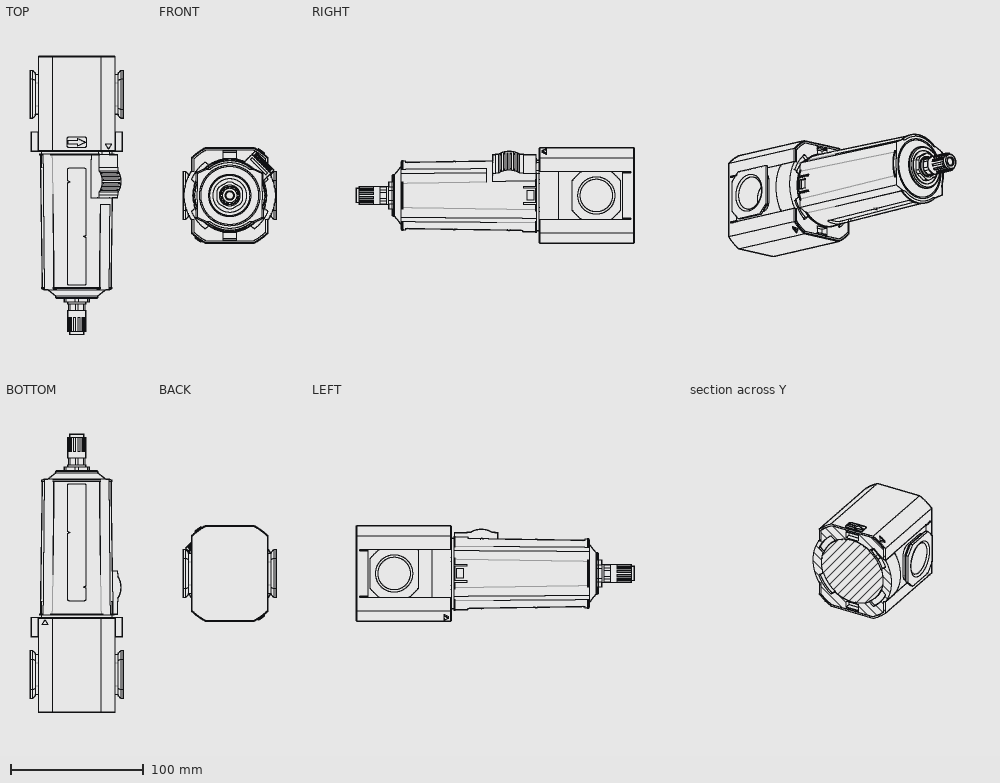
import cadquery as cq
import math


COVER_BACK = 28.7
COVER_FRONT = -43.0
COVER_HALF_WIDTH = 29.0
COVER_HALF_HEIGHT = 36.0
COVER_CORNER_RADIUS = 40.5
COVER_WALL = 1.9
COVER_EDGE = 0.6
WINDOW_HALF_HEIGHT = 18.0
WINDOW_BACK = 19.7
SLIT_BACK = 25.8
SLIT_WIDTH = 0.8
MARK_DEPTH = 0.5
LABEL_WIDTH = 14.7
LABEL_LENGTH = 8.0
LABEL_Y = -36.0
LABEL_CORNER = 1.5
ARROW_LENGTH = 13.2
ARROW_HEAD_LENGTH = 5.9
ARROW_HEAD_WIDTH = 5.5
ARROW_SHAFT_WIDTH = 2.5
LOCK_MARK_X = 23.9
LOCK_MARK_BASE_Y = -37.5
LOCK_MARK_TIP_Y = -41.0
LOCK_MARK_WIDTH = 4.6
LOCK_MARK_HEIGHT = 0.8

COLLAR_RADIUS = 34.4
COLLAR_BACK = -28.3
FLANGE_OUTER_X = 70.2 / 2
FLANGE_THICKNESS = 4.0
FLANGE_SIZE = 36.3
FLANGE_CORNER = 6.7
FLANGE_BEVEL = 2.0
NECK_SIZE = 30.2
NECK_CORNER = 6.5
PORT_DIAMETER = 24.5
PORT_MOUTH_DIAMETER = 28.0
PORT_CHAMFER_DEPTH = 1.3
PORT_DEPTH = 21.0
NOTCH_WIDTH = 10.0
NOTCH_BOTTOM = 27.9
NOTCH_DEPTH = 5.2
NOTCH_BAR_BOTTOM = 32.5
NOTCH_BAR_HEIGHT = 1.0
NOTCH_BAR_SETBACK = 1.3
SOCKET_DEPTH = 4.2
LUG_POCKET_DIAMETER = 62.5
LUG_POCKET_WIDTH = 16.8
LUG_POCKET_ANGLE = 38.0
LUG_POCKET_DEPTH = 3.1

BOWL_NECK_RADIUS = 26.6
BOWL_TOP_RADIUS = 25.5
BOWL_BOTTOM_RADIUS = 23.5
BOWL_SHOULDER_Y = -145.5
BOWL_MOUTH_RADIUS = 22.8
BOWL_CONE_RADIUS = 21.8
BOWL_RING_RADIUS = 16.0
BOWL_CONE_FRONT = -151.7
BOWL_RING_FRONT = -153.6
BOWL_RING_BEVEL = 0.8
RING_RECESS_DIAMETER = 25.4
RING_RECESS_DEPTH = 0.6
HEX_WIDTH = 19.0
HEX_DIAMETER = 20.5
HEX_FRONT = -156.3
HEX_RECESS_DIAMETER = 15.7
HEX_RECESS_DEPTH = 0.6
WASHER_DIAMETER = 13.8
WASHER_FRONT = -157.8
STEM_HEX_WIDTH = 12.5
STEM_HEX_DIAMETER = 13.5
KNOB_BACK = -162.8
KNOB_DIAMETER = 13.8
KNURL_BACK = -167.9
KNOB_FRONT = -178.5
KNURL_COUNT = 12
KNURL_WIDTH = 1.5
KNURL_DEPTH = 0.8
TIP_DIAMETER = 11.0
TIP_FRONT = -180.9
DRAIN_MOUTH_DIAMETER = 7.0
DRAIN_MOUTH_DEPTH = 0.8
DRAIN_DIAMETER = 5.7
DRAIN_DEPTH = 6.3

GUARD_BACK = -44.8
GUARD_FRONT = -147.1
GUARD_TOP_RADIUS = 27.5
GUARD_BOTTOM_RADIUS = 26.0
GUARD_RIM_RADIUS = 27.9
GUARD_RIM_LENGTH = 0.8
GUARD_LIP_HEIGHT = 0.5
GUARD_LIP_LENGTH = 1.7
GUARD_LIP_BEVEL = 0.8
GUARD_FACE_RADIUS = 24.7
RIDGE_SIDE_X = 24.3
RIDGE_SIDE_Z = 16.5
RIDGE_INNER_X = 17.4
RIDGE_INNER_Z = 19.7
RIDGE_TOP_SCALE = 1.04
SHORT_RIDGE_BACK = -82.8
SIGHT_WIDTH = 14.3
SIGHT_BACK = -55.5
SIGHT_FRONT = -143.5
SIGHT_CORNER = 1.5
LEVEL_MARK_SIZE = 1.9
UPPER_LEVEL_Y = -65.8
LOWER_LEVEL_Y = -106.9
CLIP_SLOT_Z = 6.0
CLIP_SLOT_WIDTH = 1.3
CLIP_SLOT_FRONT = -55.0
CLIP_WINDOW_WIDTH = 7.1
CLIP_WINDOW_BACK = -46.7
CLIP_WINDOW_FRONT = -52.2

BUTTON_ANGLE = 45.0
BUTTON_WIDTH = 20.1
BUTTON_BACK = -45.3
BUTTON_FRONT = -78.0
BUTTON_TOP = 33.5
BUTTON_STEP = 0.5
BUTTON_STEP_BACK = -55.0
BUTTON_STEP_FRONT = -75.9
GRIP_BACK = -57.2
GRIP_FRONT = -74.0
GRIP_TOP = 37.0
GRIP_GROOVES = 6
GRIP_GROOVE_LENGTH = 16.8
GRIP_GROOVE_WIDTH = 1.0
GRIP_GROOVE_DEPTH = 1.0
GRIP_GROOVE_PITCH = 2.5
END_SLOT_BOTTOM = 30.2
END_SLOT_TOP = 32.0
END_SLOT_WIDTH = 16.3
END_SLOT_DEPTH = 1.0
TONGUE_WIDTH = 8.4
TONGUE_HEIGHT = 3.4
TONGUE_CLEARANCE = 0.5


def block(x_range, y_range, z_range):
    """Box between the given limits."""
    size = [abs(b - a) for a, b in (x_range, y_range, z_range)]
    low = [min(pair) for pair in (x_range, y_range, z_range)]
    return cq.Workplane("XY").box(*size, centered=False).translate(tuple(low))


def sketch_at(y):
    """Plane across the part at the given Y; extrusions run toward -Y."""
    return cq.Workplane("XZ", origin=(0, y, 0))


def cylinder(diameter, back, front):
    return sketch_at(back).circle(diameter / 2).extrude(back - front)


def hexagon(width, diameter, back, front):
    """Hexagonal prism with two flats facing +X and -X, its corners turned to a diameter."""
    corner_diameter = width / math.cos(math.pi / 6)
    prism = sketch_at(back).polygon(6, corner_diameter).extrude(back - front)
    prism = prism.rotate((0, 0, 0), (0, 1, 0), 30)
    return prism.intersect(cylinder(diameter, back, front))


def turned(points):
    """Solid of revolution about Y from (radius, y) points."""
    return cq.Workplane("XY").polyline(points).close().revolve(360, (0, 0, 0), (0, 1, 0))


def housing_prism(inset, back, front):
    """Rectangle with its corners rounded about the part axis."""
    prism = sketch_at(back).rect(
        2 * (COVER_HALF_WIDTH - inset), 2 * (COVER_HALF_HEIGHT - inset)
    ).extrude(back - front)
    return prism.intersect(cylinder(2 * (COVER_CORNER_RADIUS - inset), back, front))


def flow_arrow_label():
    """Sunken label on the top face with a raised arrow pointing to +X."""
    floor_plane = cq.Workplane("XY", origin=(0, LABEL_Y, COVER_HALF_HEIGHT - MARK_DEPTH))
    sink = floor_plane.rect(LABEL_WIDTH, LABEL_LENGTH).extrude(2 * MARK_DEPTH)
    sink = sink.edges("|Z").fillet(LABEL_CORNER)
    tail = -ARROW_LENGTH / 2
    tip = ARROW_LENGTH / 2
    neck = tip - ARROW_HEAD_LENGTH
    half_shaft = ARROW_SHAFT_WIDTH / 2
    half_head = ARROW_HEAD_WIDTH / 2
    arrow = floor_plane.polyline([
        (tail, -half_shaft), (neck, -half_shaft), (neck, -half_head), (tip, 0),
        (neck, half_head), (neck, half_shaft), (tail, half_shaft),
    ]).close().extrude(2 * MARK_DEPTH)
    return sink.cut(arrow)


def lock_mark():
    """Raised triangle on the upper +X corner face of the cover."""
    half = LOCK_MARK_WIDTH / 2
    prism = cq.Workplane("XY").polyline([
        (LOCK_MARK_X - half, LOCK_MARK_BASE_Y), (LOCK_MARK_X + half, LOCK_MARK_BASE_Y),
        (LOCK_MARK_X, LOCK_MARK_TIP_Y),
    ]).close().extrude(COVER_CORNER_RADIUS + LOCK_MARK_HEIGHT)
    mark_radius = COVER_CORNER_RADIUS + LOCK_MARK_HEIGHT
    ring = cylinder(2 * mark_radius, COVER_BACK, COVER_FRONT)
    ring = ring.cut(cylinder(2 * (COVER_CORNER_RADIUS - COVER_WALL / 2), COVER_BACK, COVER_FRONT))
    return prism.intersect(ring)


def make_cover():
    cover = housing_prism(0, COVER_BACK, COVER_FRONT)
    cover = cover.faces("<Y or >Y").edges().chamfer(COVER_EDGE)
    cover = cover.cut(housing_prism(COVER_WALL, COVER_BACK - COVER_WALL, COVER_FRONT))
    across = (-COVER_HALF_WIDTH, COVER_HALF_WIDTH)
    window = block(across, (WINDOW_BACK, COVER_FRONT), (-WINDOW_HALF_HEIGHT, WINDOW_HALF_HEIGHT))
    cover = cover.cut(window)
    for side in (-1, 1):
        slit_z = (side * (WINDOW_HALF_HEIGHT - SLIT_WIDTH), side * WINDOW_HALF_HEIGHT)
        cover = cover.cut(block(across, (SLIT_BACK, WINDOW_BACK), slit_z))
    mark = lock_mark()
    cover = cover.cut(flow_arrow_label()).union(mark)
    return cover.union(mark.rotate((0, 0, 0), (0, 1, 0), 180))


def port_flange(cut_corners):
    """Neck and flange plate on the +X side, the selected plate corners cut at 45 degrees."""
    inner_x = FLANGE_OUTER_X - FLANGE_THICKNESS
    start_x = COVER_HALF_WIDTH - COVER_WALL
    neck = cq.Workplane("YZ", origin=(start_x, 0, 0)).rect(NECK_SIZE, NECK_SIZE)
    neck = neck.extrude(inner_x - start_x).edges("|X").fillet(NECK_CORNER)
    plate = cq.Workplane("YZ", origin=(inner_x, 0, 0)).rect(FLANGE_SIZE, FLANGE_SIZE)
    plate = plate.extrude(FLANGE_THICKNESS).edges(cut_corners).chamfer(FLANGE_CORNER)
    plate = plate.faces("<X").edges().chamfer(FLANGE_BEVEL)
    return neck.union(plate)


def port_bore():
    """Bore with a chamfered mouth on the +X side."""
    mouth = PORT_MOUTH_DIAMETER / 2
    bore = PORT_DIAMETER / 2
    profile = [
        (FLANGE_OUTER_X, 0), (FLANGE_OUTER_X, mouth), (FLANGE_OUTER_X - PORT_CHAMFER_DEPTH, bore),
        (FLANGE_OUTER_X - PORT_DEPTH, bore), (FLANGE_OUTER_X - PORT_DEPTH, 0),
    ]
    return cq.Workplane("XY").polyline(profile).close().revolve(360, (0, 0, 0), (1, 0, 0))


def front_notch():
    """Notch at the top of the front face, crossed by a set-back bar."""
    across = (-NOTCH_WIDTH / 2, NOTCH_WIDTH / 2)
    floor_y = COVER_FRONT + NOTCH_DEPTH
    notch = block(across, (floor_y, COVER_FRONT), (NOTCH_BOTTOM, COVER_HALF_HEIGHT - COVER_WALL))
    bar_z = (NOTCH_BAR_BOTTOM, NOTCH_BAR_BOTTOM + NOTCH_BAR_HEIGHT)
    return notch.cut(block(across, (floor_y, COVER_FRONT + NOTCH_BAR_SETBACK), bar_z))


def lug_pocket(angle):
    """Pocket in the front face, square to the radius at the given angle from +X toward +Z."""
    pocket = block(
        (0, LUG_POCKET_DIAMETER / 2),
        (COVER_FRONT + LUG_POCKET_DEPTH, COVER_FRONT),
        (-LUG_POCKET_WIDTH / 2, LUG_POCKET_WIDTH / 2),
    )
    pocket = pocket.intersect(cylinder(LUG_POCKET_DIAMETER, COVER_BACK, COVER_FRONT))
    return pocket.rotate((0, 0, 0), (0, 1, 0), -angle)


def make_port_body():
    body = housing_prism(COVER_WALL, WINDOW_BACK, COVER_FRONT)
    window_z = (-WINDOW_HALF_HEIGHT, WINDOW_HALF_HEIGHT)
    window_fill = block((-COVER_HALF_WIDTH, COVER_HALF_WIDTH), (WINDOW_BACK, COVER_FRONT), window_z)
    collar = cylinder(2 * COLLAR_RADIUS, COLLAR_BACK, COVER_FRONT)
    collar_band = block((-COLLAR_RADIUS, COLLAR_RADIUS), (COLLAR_BACK, COVER_FRONT), window_z)
    body = body.union(window_fill).union(collar.intersect(collar_band))
    for turn, cut_corners in ((0, "|X"), (180, "|X and (not (>Y and >Z))")):
        flange = port_flange(cut_corners).rotate((0, 0, 0), (0, 0, 1), turn)
        body = body.union(flange).cut(port_bore().rotate((0, 0, 0), (0, 0, 1), turn))
        body = body.cut(front_notch().rotate((0, 0, 0), (0, 1, 0), turn))
        for angle in (LUG_POCKET_ANGLE, -LUG_POCKET_ANGLE):
            body = body.cut(lug_pocket(turn + angle))
    return body.cut(cylinder(2 * BOWL_NECK_RADIUS, COVER_FRONT + SOCKET_DEPTH, COVER_FRONT))


def make_bowl():
    """Bowl with its conical bottom, drain nut, stem and knurled drain knob."""
    bowl = turned([
        (0, COVER_FRONT + SOCKET_DEPTH), (BOWL_NECK_RADIUS, COVER_FRONT + SOCKET_DEPTH),
        (BOWL_NECK_RADIUS, GUARD_BACK), (BOWL_TOP_RADIUS, GUARD_BACK),
        (BOWL_BOTTOM_RADIUS, BOWL_SHOULDER_Y), (BOWL_MOUTH_RADIUS, BOWL_SHOULDER_Y),
        (BOWL_MOUTH_RADIUS, GUARD_FRONT), (BOWL_CONE_RADIUS, GUARD_FRONT),
        (BOWL_RING_RADIUS, BOWL_CONE_FRONT),
        (BOWL_RING_RADIUS, BOWL_RING_FRONT + BOWL_RING_BEVEL),
        (BOWL_RING_RADIUS - BOWL_RING_BEVEL, BOWL_RING_FRONT),
        (0, BOWL_RING_FRONT),
    ])
    recess_floor = BOWL_RING_FRONT + RING_RECESS_DEPTH
    bowl = bowl.cut(cylinder(RING_RECESS_DIAMETER, recess_floor, BOWL_RING_FRONT))
    bowl = bowl.union(hexagon(HEX_WIDTH, HEX_DIAMETER, recess_floor, HEX_FRONT))
    hex_floor = HEX_FRONT + HEX_RECESS_DEPTH
    bowl = bowl.cut(cylinder(HEX_RECESS_DIAMETER, hex_floor, HEX_FRONT))
    bowl = bowl.union(cylinder(WASHER_DIAMETER, hex_floor, WASHER_FRONT))
    bowl = bowl.union(hexagon(STEM_HEX_WIDTH, STEM_HEX_DIAMETER, WASHER_FRONT, KNOB_BACK))
    bowl = bowl.union(drain_knob())
    bowl = bowl.cut(cylinder(DRAIN_MOUTH_DIAMETER, TIP_FRONT + DRAIN_MOUTH_DEPTH, TIP_FRONT))
    return bowl.cut(cylinder(DRAIN_DIAMETER, TIP_FRONT + DRAIN_DEPTH, TIP_FRONT))


def drain_knob():
    knob = cylinder(KNOB_DIAMETER, KNOB_BACK, KNOB_FRONT)
    groove = block(
        (-KNURL_WIDTH / 2, KNURL_WIDTH / 2), (KNURL_BACK, KNOB_FRONT),
        (KNOB_DIAMETER / 2 - KNURL_DEPTH, KNOB_DIAMETER / 2),
    )
    for index in range(KNURL_COUNT):
        angle = (index + 0.5) * 360 / KNURL_COUNT
        knob = knob.cut(groove.rotate((0, 0, 0), (0, 1, 0), angle))
    return knob.union(cylinder(TIP_DIAMETER, KNOB_FRONT, TIP_FRONT))


def ridge_outline(scale):
    """Eight corners of the ridged guard section, in order around the axis."""
    quarter = [
        (RIDGE_SIDE_X * scale, RIDGE_SIDE_Z * scale),
        (RIDGE_INNER_X * scale, RIDGE_INNER_Z * scale),
    ]
    upper = quarter + [(-x, z) for x, z in reversed(quarter)]
    return upper + [(-x, -z) for x, z in upper]


def guard_outer():
    """Tapered round guard with four flat-sided corner ridges, without its bore."""
    lip_back = GUARD_FRONT + GUARD_LIP_LENGTH
    lip_radius = GUARD_BOTTOM_RADIUS + GUARD_LIP_HEIGHT
    rim_front = GUARD_BACK - GUARD_RIM_LENGTH
    round_part = turned([
        (0, GUARD_BACK), (GUARD_RIM_RADIUS, GUARD_BACK), (GUARD_RIM_RADIUS, rim_front),
        (GUARD_TOP_RADIUS, rim_front), (GUARD_BOTTOM_RADIUS, lip_back),
        (lip_radius, lip_back), (lip_radius, GUARD_FRONT + GUARD_LIP_BEVEL),
        (GUARD_FACE_RADIUS, GUARD_FRONT), (0, GUARD_FRONT),
    ])
    ridges = sketch_at(GUARD_BACK).polyline(ridge_outline(RIDGE_TOP_SCALE)).close()
    ridges = ridges.workplane(offset=GUARD_BACK - GUARD_FRONT)
    ridges = ridges.polyline(ridge_outline(1)).close().loft(ruled=True)
    quadrant = (0, 2 * GUARD_RIM_RADIUS)
    ridges = ridges.cut(block(quadrant, (GUARD_BACK, SHORT_RIDGE_BACK), quadrant))
    return round_part.union(ridges)


def sight_window():
    """Long window on the +Z side with two level marks pointing into it."""
    half_width = SIGHT_WIDTH / 2
    window = block((-half_width, half_width), (SIGHT_BACK, SIGHT_FRONT), (0, GUARD_RIM_RADIUS))
    window = window.edges("|Z").fillet(SIGHT_CORNER)
    for side, y in ((-1, UPPER_LEVEL_Y), (1, LOWER_LEVEL_Y)):
        edge_x = side * half_width
        mark = cq.Workplane("XY").polyline([
            (edge_x, y + LEVEL_MARK_SIZE / 2), (edge_x - side * LEVEL_MARK_SIZE, y),
            (edge_x, y - LEVEL_MARK_SIZE / 2),
        ]).close().extrude(GUARD_RIM_RADIUS)
        window = window.cut(mark)
    return window


def clip_cuts():
    """Two slots and a catch window that free a snap tab on the +X side."""
    reach = (0, GUARD_RIM_RADIUS)
    half_window = CLIP_WINDOW_WIDTH / 2
    cuts = block(reach, (CLIP_WINDOW_BACK, CLIP_WINDOW_FRONT), (-half_window, half_window))
    for side in (-1, 1):
        slot_z = side * CLIP_SLOT_Z
        slot = block(
            reach, (GUARD_BACK, CLIP_SLOT_FRONT),
            (slot_z - CLIP_SLOT_WIDTH / 2, slot_z + CLIP_SLOT_WIDTH / 2),
        )
        cuts = cuts.union(slot)
    return cuts


def make_guard(bowl):
    guard = guard_outer().cut(bowl)
    for turn in (0, 180):
        guard = guard.cut(sight_window().rotate((0, 0, 0), (0, 1, 0), turn))
        guard = guard.cut(clip_cuts().rotate((0, 0, 0), (0, 1, 0), turn))
    return guard


def grip_hump(width, top):
    """Arched hump across the button, reaching the given height."""
    hump = cq.Workplane("YZ", origin=(-width / 2, 0, 0)).moveTo(GRIP_BACK, BUTTON_TOP)
    middle = (GRIP_BACK + GRIP_FRONT) / 2
    return hump.threePointArc((middle, top), (GRIP_FRONT, BUTTON_TOP)).close().extrude(width)


def button_grip():
    """Finger grip: a hump with a row of grooves of even depth."""
    grip = grip_hump(BUTTON_WIDTH, GRIP_TOP)
    core = grip_hump(BUTTON_WIDTH, GRIP_TOP - GRIP_GROOVE_DEPTH)
    half_length = GRIP_GROOVE_LENGTH / 2
    for index in range(GRIP_GROOVES):
        offset = (index - (GRIP_GROOVES - 1) / 2) * GRIP_GROOVE_PITCH
        y = (GRIP_BACK + GRIP_FRONT) / 2 + offset
        y_range = (y - GRIP_GROOVE_WIDTH / 2, y + GRIP_GROOVE_WIDTH / 2)
        grip = grip.cut(block((-half_length, half_length), y_range, (BUTTON_TOP, GRIP_TOP)))
    return grip.union(core)


def make_button():
    """Lock button, shaped facing +Z and then turned to its corner of the guard."""
    across = (-BUTTON_WIDTH / 2, BUTTON_WIDTH / 2)
    button = block(across, (BUTTON_BACK, BUTTON_FRONT), (0, BUTTON_TOP))
    raised = block(across, (BUTTON_STEP_BACK, BUTTON_STEP_FRONT), (0, BUTTON_TOP + BUTTON_STEP))
    button = button.union(raised).union(button_grip())
    half_slot = END_SLOT_WIDTH / 2
    button = button.cut(block(
        (-half_slot, half_slot), (BUTTON_FRONT + END_SLOT_DEPTH, BUTTON_FRONT),
        (END_SLOT_BOTTOM, END_SLOT_TOP),
    ))
    tongue_top = LUG_POCKET_DIAMETER / 2 - TONGUE_CLEARANCE
    tongue = block(
        (-TONGUE_WIDTH / 2, TONGUE_WIDTH / 2), (COVER_FRONT + LUG_POCKET_DEPTH, BUTTON_BACK),
        (tongue_top - TONGUE_HEIGHT, tongue_top),
    )
    button = button.union(tongue)
    button = button.rotate((0, 0, 0), (0, 1, 0), BUTTON_ANGLE)
    return button.cut(guard_outer())


cover = make_cover()
port_body = make_port_body()
bowl = make_bowl()
guard = make_guard(bowl)
button = make_button()

bodies = [cover, port_body, bowl, guard, button]
result = cq.Compound.makeCompound([body.solids().val() for body in bodies])